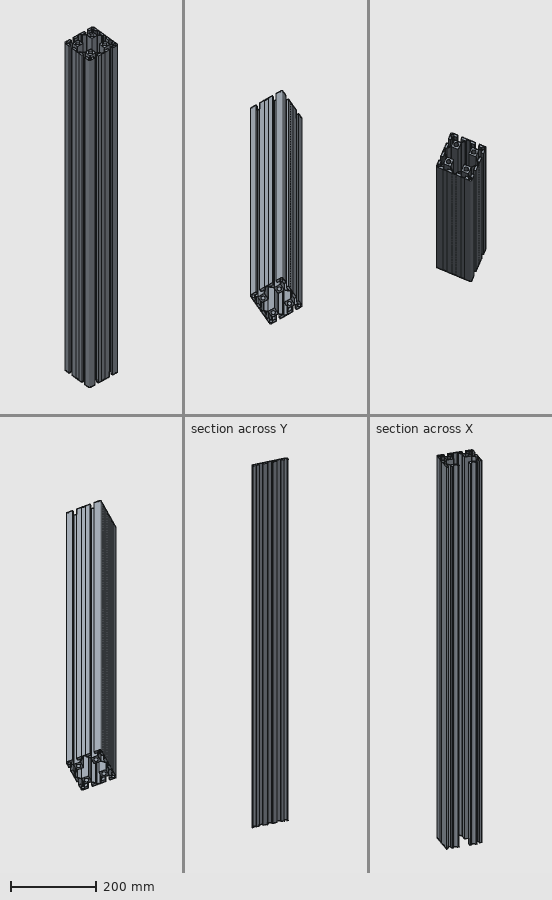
import cadquery as cq

length = 1000.0
side = 90.0
half_side = side / 2
corner_radius = 3.0

wall_thickness = 6.0
wall_inner = half_side - wall_thickness
recess_width = 10.0
recess_wall = 2.0

slot_offset = side / 4
slot_opening = 10.0
slot_skin = 1.5

core_width = 18.0
core_bore = 10.0
core_near = slot_offset - core_width / 2
core_far = slot_offset + core_width / 2

block_near = 35.0
block_far = half_side - corner_radius / 3
hollow_diameter = 7.0
hollow_offset = wall_inner

side_web_core_width = 1.0
side_web_wall_width = 2.0
corner_web_step = 0.7
overlap = 0.5

four_corners = [(1, 1), (-1, 1), (-1, -1), (1, -1)]


def prism(points):
    """Full-length prism on a closed outline."""
    return cq.Workplane("XY").polyline(points).close().extrude(length)


def bar(x_min, x_max, y_min, y_max):
    """Full-length rectangular bar."""
    return prism([(x_min, y_min), (x_max, y_min), (x_max, y_max), (x_min, y_max)])


def square_bar(low, high):
    """Full-length bar covering the same range in X and Y."""
    return bar(low, high, low, high)


def round_bars(offset, diameter):
    """Four full-length round bars at the same distance from both middle planes."""
    centers = [(x * offset, y * offset) for x, y in four_corners]
    return cq.Workplane("XY").pushPoints(centers).circle(diameter / 2).extrude(length)


def side_cutter(skin):
    """Recess and two slots of the +Y side; the slots stop short of the outside by the skin."""
    cutter = bar(-recess_width / 2, recess_width / 2, wall_inner - overlap, half_side - recess_wall)
    for x in (-slot_offset, slot_offset):
        slot = bar(x - slot_opening / 2, x + slot_opening / 2, wall_inner - overlap, half_side - skin)
        cutter = cutter.union(slot)
    return cutter


def outer_wall():
    """Square tube with rounded corners, slots and recesses."""
    wall = square_bar(-half_side, half_side).edges("|Z").fillet(corner_radius)
    wall = wall.cut(square_bar(-wall_inner, wall_inner))
    for angle in (0, 90, 180, 270):
        skin = slot_skin if angle == 0 else 0
        wall = wall.cut(side_cutter(skin).rotate((0, 0, 0), (0, 0, 1), angle))
    return wall


def side_webs():
    """Webs from one core to the two nearest sides, each ending at the edge of a recess."""
    web_near = recess_width / 2
    web_far = web_near + side_web_wall_width
    outline = [
        (core_near, core_far),
        (core_near, core_far - overlap),
        (core_near + side_web_core_width, core_far - overlap),
        (core_near + side_web_core_width, core_far),
        (web_far, wall_inner),
        (web_far, wall_inner + overlap),
        (web_near, wall_inner + overlap),
        (web_near, wall_inner),
    ]
    return prism(outline).union(prism([(y, x) for x, y in outline]))


def corner_web():
    """Diagonal web from one core to the corner block beside it."""
    start = core_far
    end = block_near + overlap
    step = corner_web_step
    outline = [
        (start - step, start - step),
        (start, start - step),
        (end, end - step),
        (end, end),
        (end - step, end),
        (start - step, start),
    ]
    return prism(outline)


def inner_quarter():
    """Core, webs and corner block of the +X +Y quarter, before boring."""
    quarter = square_bar(core_near, core_far).union(square_bar(block_near, block_far))
    return quarter.union(side_webs()).union(corner_web())


quarter = inner_quarter()
half = quarter.union(quarter.mirror("YZ"))
result = outer_wall().union(half).union(half.mirror("XZ"))
result = result.cut(round_bars(slot_offset, core_bore)).cut(round_bars(hollow_offset, hollow_diameter))